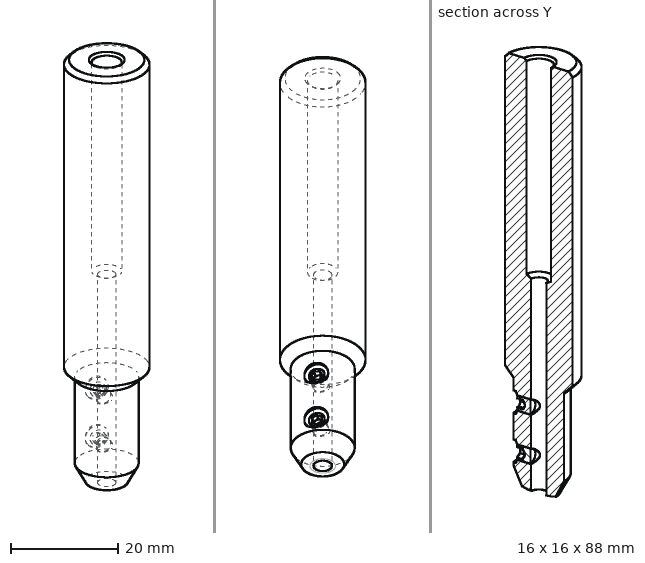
import cadquery as cq
import math

total_length = 88
shank_radius = 8.0
nose_radius = 6.0
tip_radius = 4.0
tip_height = 4.05
tip_face_radius = 2.4
tip_edge_height = 0.35
shoulder_top = 24.0
shoulder_height = shank_radius - nose_radius
top_chamfer = 1.0

through_radius = 1.72
bore_radius = 2.8
bore_mouth_radius = 3.3
bore_mouth_depth = bore_mouth_radius - bore_radius
bore_depth = 44
drill_point_angle = 118
bore_cone_height = (bore_radius - through_radius) / math.tan(math.radians(drill_point_angle / 2))

lower_screw_height = 7.0
screw_spacing = 10.0
screw_places = [
    (lower_screw_height, 0),
    (lower_screw_height + screw_spacing, 30),
]
screw_radius = 1.5
pocket_radius = 2.3
pocket_floor = 5.5
countersink_depth = 0.35
screw_outer_face = pocket_floor - countersink_depth
screw_inner_face = 1.9
screw_length = screw_outer_face - screw_inner_face
socket_width = 1.85
socket_depth = 1.3
socket_point_angle = 120


def revolve_about_z(points):
    """Revolve a closed (radius, height) outline around the Z axis."""
    return cq.Workplane("XZ").polyline(points).close().revolve(360, (0, 0), (0, 1))


def side_plane(height, distance):
    """Plane on the -X side with its normal pointing out toward -X."""
    return cq.Workplane(cq.Plane(origin=(-distance, 0, height), xDir=(0, 1, 0), normal=(-1, 0, 0)))


def make_bore():
    bore_floor = total_length - bore_depth
    return revolve_about_z([
        (0, 0),
        (through_radius, 0),
        (through_radius, bore_floor - bore_cone_height),
        (bore_radius, bore_floor),
        (bore_radius, total_length - bore_mouth_depth),
        (bore_mouth_radius, total_length),
        (0, total_length),
    ])


def make_holder():
    outside = revolve_about_z([
        (0, 0),
        (tip_face_radius, 0),
        (tip_radius, tip_edge_height),
        (nose_radius, tip_height),
        (nose_radius, shoulder_top - shoulder_height),
        (shank_radius, shoulder_top),
        (shank_radius, total_length - top_chamfer),
        (shank_radius - top_chamfer, total_length),
        (0, total_length),
    ])
    holder = outside.cut(make_bore())
    for height, _ in screw_places:
        holder = holder.cut(make_screw_hole(height))
    return holder


def make_screw_hole(height):
    """Hole from the central bore out through the nose wall, with a countersunk pocket."""
    hole = side_plane(height, 0).circle(screw_radius).extrude(screw_outer_face)
    countersink = cq.Solid.makeCone(
        pocket_radius,
        screw_radius,
        countersink_depth,
        cq.Vector(-pocket_floor, 0, height),
        cq.Vector(1, 0, 0),
    )
    pocket = side_plane(height, pocket_floor).circle(pocket_radius).extrude(nose_radius - pocket_floor)
    return hole.union(cq.Workplane(countersink)).union(pocket)


def make_set_screw(height, socket_turn):
    body = side_plane(height, screw_inner_face).circle(screw_radius).extrude(screw_length)

    socket_corner_radius = socket_width / math.sqrt(3)
    corners = [
        (
            socket_corner_radius * math.sin(math.radians(60 * i + socket_turn)),
            socket_corner_radius * math.cos(math.radians(60 * i + socket_turn)),
        )
        for i in range(6)
    ]
    socket_floor = side_plane(height, screw_outer_face - socket_depth)
    socket = socket_floor.polyline(corners).close().extrude(socket_depth)
    point_height = socket_width / 2 / math.tan(math.radians(socket_point_angle / 2))
    point = cq.Solid.makeCone(
        socket_width / 2,
        0,
        point_height,
        cq.Vector(socket_depth - screw_outer_face, 0, height),
        cq.Vector(1, 0, 0),
    )
    return body.cut(socket).cut(cq.Workplane(point))


holder = make_holder()
set_screws = [make_set_screw(height, socket_turn) for height, socket_turn in screw_places]

result = cq.Compound.makeCompound([holder.val(), *[screw.val() for screw in set_screws]])